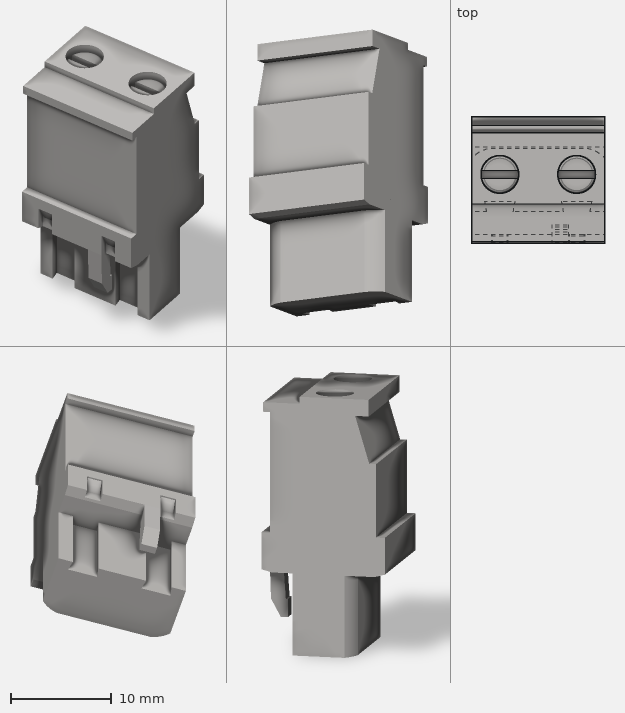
import cadquery as cq

TOTAL_HEIGHT = 26.2
WIDTH = 13.23
POLE_PITCH = 7.62
POLE_POSITIONS = [-POLE_PITCH / 2, POLE_PITCH / 2]

BASE_DEPTH = 12.6
BASE_HALF_DEPTH = BASE_DEPTH / 2
BASE_WALL = 0.9
BASE_BOTTOM_Z = 8.3
BASE_TOP_Z = 12.31
TRAY_FLOOR_Z = 9.55
BASE_CHAMFER_DEPTH = 1.05
BASE_CHAMFER_HEIGHT = 0.3

PLUG_FRONT_Y = -3.12
PLUG_SIDE_BACK_Y = 2.17
PLUG_BACK_Y = 3.15
PLUG_CORNER_WIDTH = 1.8
PLUG_CORNER_RADIUS = 3.3

GROOVE_MOUTH = 2.65
GROOVE_UNDERCUT = 0.18
GROOVE_DEPTH = 1.0

WINDOW_WIDTH = 1.62
WINDOW_TOP_Z = 11.05
SNAP_CLEARANCE = 0.08
TONGUE_WIDTH = WINDOW_WIDTH - 2 * SNAP_CLEARANCE
TONGUE_TOP_Z = WINDOW_TOP_Z - SNAP_CLEARANCE
NOTCH_DEPTH = 0.75
TONGUE_TIP_SETBACK = 0.1

LATCH_WIDTH = 1.62
LATCH_CENTER_X = 2.17
LATCH_ROOT_INNER_Y = -4.9
LATCH_HOOK_ROOT_Y = -4.66
LATCH_HOOK_TIP_Y = -4.45
LATCH_OUTER_BEND_Y = -6.18
LATCH_TIP_FRONT_Y = -5.2
LATCH_HOOK_Z = 4.95
LATCH_TIP_Z = 3.15

HOUSING_HALF_DEPTH = BASE_HALF_DEPTH - BASE_WALL
SLOPE_TOP_Y = 3.28
SLOPE_BOTTOM_Y = 4.72
SLOPE_BOTTOM_Z = 19.73
FLANGE_BOTTOM_Z = 24.52
FLANGE_BACK_Y = 4.66
FLANGE_FRONT_Y = -6.1
STEP_Y = -2.38
STEP_Z = 25.5

SCREW_Y = 0.55
SCREW_HOLE_DIAMETER = 3.8
SCREW_DIAMETER = 3.7
SCREW_RECESS = 0.79
SCREW_LENGTH = 2.62
SCREW_EDGE_RADIUS = 0.24
SCREW_SLOT_WIDTH = 0.8
SCREW_SLOT_DEPTH = 0.92
SCREW_TOP_Z = TOTAL_HEIGHT - SCREW_RECESS
SCREW_BOTTOM_Z = SCREW_TOP_Z - SCREW_LENGTH


def extrude_profile(points, width, center_x=0.0):
    """Extrude a closed (Y, Z) outline along X, centred on center_x."""
    return (
        cq.Workplane("YZ", origin=(center_x, 0, 0))
        .polyline(points)
        .close()
        .extrude(width / 2, both=True)
    )


def make_tray():
    floor_edge_y = BASE_HALF_DEPTH - BASE_CHAMFER_DEPTH
    chamfer_top_z = BASE_BOTTOM_Z + BASE_CHAMFER_HEIGHT
    outline = [
        (-floor_edge_y, BASE_BOTTOM_Z),
        (floor_edge_y, BASE_BOTTOM_Z),
        (BASE_HALF_DEPTH, chamfer_top_z),
        (BASE_HALF_DEPTH, BASE_TOP_Z),
        (HOUSING_HALF_DEPTH, BASE_TOP_Z),
        (HOUSING_HALF_DEPTH, TRAY_FLOOR_Z),
        (-HOUSING_HALF_DEPTH, TRAY_FLOOR_Z),
        (-HOUSING_HALF_DEPTH, BASE_TOP_Z),
        (-BASE_HALF_DEPTH, BASE_TOP_Z),
        (-BASE_HALF_DEPTH, chamfer_top_z),
    ]
    return extrude_profile(outline, WIDTH)


def make_plug():
    """Block whose back corners are shallow arcs that meet the sides and the back at an edge."""
    half_width = WIDTH / 2
    back_half_width = half_width - PLUG_CORNER_WIDTH
    plug = (
        cq.Workplane("XY")
        .moveTo(-half_width, PLUG_FRONT_Y)
        .lineTo(half_width, PLUG_FRONT_Y)
        .lineTo(half_width, PLUG_SIDE_BACK_Y)
        .radiusArc((back_half_width, PLUG_BACK_Y), -PLUG_CORNER_RADIUS)
        .lineTo(-back_half_width, PLUG_BACK_Y)
        .radiusArc((-half_width, PLUG_SIDE_BACK_Y), -PLUG_CORNER_RADIUS)
        .close()
        .extrude(BASE_BOTTOM_Z)
    )
    for pole_x in POLE_POSITIONS:
        plug = plug.cut(make_coding_groove(pole_x))
    return plug


def make_coding_groove(pole_x):
    mouth_half = GROOVE_MOUTH / 2
    floor_half = mouth_half + GROOVE_UNDERCUT
    floor_y = PLUG_FRONT_Y + GROOVE_DEPTH
    outline = [
        (pole_x - mouth_half, PLUG_FRONT_Y),
        (pole_x + mouth_half, PLUG_FRONT_Y),
        (pole_x + floor_half, floor_y),
        (pole_x - floor_half, floor_y),
    ]
    return cq.Workplane("XY").polyline(outline).close().extrude(BASE_BOTTOM_Z)


def make_snap_window(pole_x):
    """Cutter through the front wall, with a notch in front of the tray floor below it."""
    notch_y = -BASE_HALF_DEPTH + NOTCH_DEPTH
    outline = [
        (-BASE_HALF_DEPTH, BASE_BOTTOM_Z),
        (notch_y, BASE_BOTTOM_Z),
        (notch_y, TRAY_FLOOR_Z),
        (-HOUSING_HALF_DEPTH, TRAY_FLOOR_Z),
        (-HOUSING_HALF_DEPTH, WINDOW_TOP_Z),
        (-BASE_HALF_DEPTH, WINDOW_TOP_Z),
    ]
    return extrude_profile(outline, WINDOW_WIDTH, pole_x)


def make_snap_tongue(pole_x):
    """Wedge that grows from flush with the notch at the housing bottom to a flat catch at the top."""
    outline = [
        (-HOUSING_HALF_DEPTH, TRAY_FLOOR_Z),
        (-BASE_HALF_DEPTH + NOTCH_DEPTH, TRAY_FLOOR_Z),
        (-BASE_HALF_DEPTH + TONGUE_TIP_SETBACK, TONGUE_TOP_Z),
        (-HOUSING_HALF_DEPTH, TONGUE_TOP_Z),
    ]
    return extrude_profile(outline, TONGUE_WIDTH, pole_x)


def make_latch():
    root_z = BASE_BOTTOM_Z + BASE_CHAMFER_HEIGHT
    outline = [
        (-BASE_HALF_DEPTH, root_z),
        (LATCH_OUTER_BEND_Y, LATCH_HOOK_Z),
        (LATCH_TIP_FRONT_Y, LATCH_TIP_Z),
        (LATCH_HOOK_TIP_Y, LATCH_TIP_Z),
        (LATCH_HOOK_TIP_Y, LATCH_HOOK_Z),
        (LATCH_HOOK_ROOT_Y, LATCH_HOOK_Z),
        (LATCH_ROOT_INNER_Y, BASE_BOTTOM_Z),
        (LATCH_ROOT_INNER_Y, root_z),
    ]
    return extrude_profile(outline, LATCH_WIDTH, LATCH_CENTER_X)


def make_base():
    base = make_tray().union(make_plug()).union(make_latch())
    for pole_x in POLE_POSITIONS:
        base = base.cut(make_snap_window(pole_x))
    return base


def make_housing():
    outline = [
        (-HOUSING_HALF_DEPTH, TRAY_FLOOR_Z),
        (HOUSING_HALF_DEPTH, TRAY_FLOOR_Z),
        (HOUSING_HALF_DEPTH, SLOPE_BOTTOM_Z),
        (SLOPE_BOTTOM_Y, SLOPE_BOTTOM_Z),
        (SLOPE_TOP_Y, FLANGE_BOTTOM_Z),
        (FLANGE_BACK_Y, FLANGE_BOTTOM_Z),
        (FLANGE_BACK_Y, TOTAL_HEIGHT),
        (STEP_Y, TOTAL_HEIGHT),
        (STEP_Y, STEP_Z),
        (FLANGE_FRONT_Y, STEP_Z),
        (FLANGE_FRONT_Y, FLANGE_BOTTOM_Z),
        (-HOUSING_HALF_DEPTH, FLANGE_BOTTOM_Z),
    ]
    housing = extrude_profile(outline, WIDTH)
    for pole_x in POLE_POSITIONS:
        screw_hole = (
            cq.Workplane("XY", origin=(pole_x, SCREW_Y, SCREW_BOTTOM_Z))
            .circle(SCREW_HOLE_DIAMETER / 2)
            .extrude(TOTAL_HEIGHT - SCREW_BOTTOM_Z)
        )
        housing = housing.cut(screw_hole).union(make_snap_tongue(pole_x))
    return housing


def make_screw(pole_x):
    screw = (
        cq.Workplane("XY", origin=(pole_x, SCREW_Y, SCREW_BOTTOM_Z))
        .circle(SCREW_DIAMETER / 2)
        .extrude(SCREW_LENGTH)
        .faces(">Z")
        .edges()
        .fillet(SCREW_EDGE_RADIUS)
    )
    driver_slot = (
        cq.Workplane("XY", origin=(pole_x, SCREW_Y, SCREW_TOP_Z - SCREW_SLOT_DEPTH))
        .rect(SCREW_DIAMETER, SCREW_SLOT_WIDTH)
        .extrude(SCREW_SLOT_DEPTH)
    )
    return screw.cut(driver_slot)


base = make_base()
housing = make_housing()
screws = [make_screw(pole_x) for pole_x in POLE_POSITIONS]

result = cq.Compound.makeCompound([base.val(), housing.val(), *[screw.val() for screw in screws]])